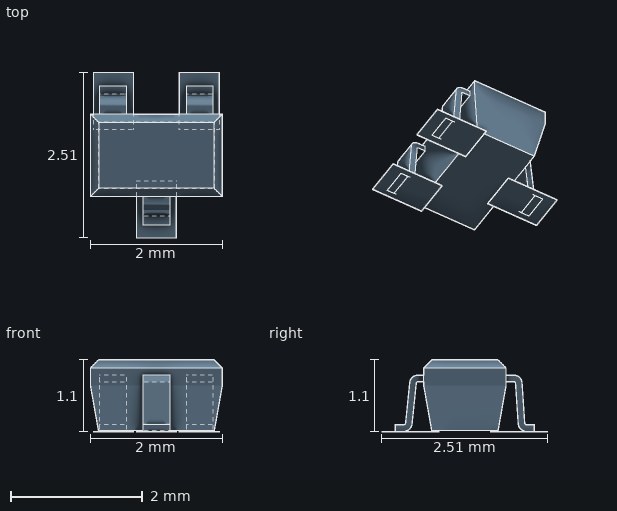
import cadquery as cq
import math

total_y = 2.51
total_height = 1.1

body_x = 2.0
body_y = 1.25
body_bottom = 0.02
belt_bottom = 0.7
top_chamfer = 0.128
draft_inset = 0.12

pad_thickness = 0.01
pad_width = 0.607
pad_length = 0.865
pad_offset_x = 0.65

lead_width = 0.407
lead_thickness = 0.103
lead_offset_x = 0.658
lead_top = 0.863
inner_radius = 0.023
outer_radius = inner_radius + lead_thickness
embed_depth = 0.05

rear_reach = (0.743, 0.93, 1.052)
front_reach = (0.713, 0.924, 1.06)


def make_body():
    """Box with a chamfered top and a lower half that tapers inward."""
    belt = (
        cq.Workplane("XY", origin=(0, 0, belt_bottom))
        .rect(body_x, body_y)
        .extrude(total_height - belt_bottom)
        .faces(">Z")
        .chamfer(top_chamfer)
    )
    base = (
        cq.Workplane("XY", origin=(0, 0, body_bottom))
        .rect(body_x - 2 * draft_inset, body_y - 2 * draft_inset)
        .workplane(offset=belt_bottom - body_bottom)
        .rect(body_x, body_y)
        .loft(ruled=True)
    )
    return belt.union(base)


def make_pad(x):
    """Thin pad reaching the +Y end of the part."""
    return (
        cq.Workplane("XY")
        .center(x, (total_y - pad_length) / 2)
        .rect(pad_width, pad_length)
        .extrude(pad_thickness)
    )


def make_lead(x, shoulder_y, heel_y, toe_y):
    """Lead leaving the +Y side of the body and standing on its pad."""
    shoulder_z = lead_top - outer_radius
    heel_z = pad_thickness + outer_radius
    rise = shoulder_z - heel_z
    run = heel_y - shoulder_y

    lean = math.acos((outer_radius + inner_radius) / math.hypot(run, rise)) - math.atan2(rise, run)

    def upper_bend(radius, angle):
        return (shoulder_y + radius * math.cos(angle), shoulder_z + radius * math.sin(angle))

    def lower_bend(radius, angle):
        return (heel_y - radius * math.cos(angle), heel_z - radius * math.sin(angle))

    bend_end = math.pi / 2
    bend_middle = (lean + bend_end) / 2
    root_y = body_y / 2 - embed_depth
    return (
        cq.Workplane("YZ", origin=(x - lead_width / 2, 0, 0))
        .moveTo(root_y, lead_top)
        .lineTo(*upper_bend(outer_radius, bend_end))
        .threePointArc(upper_bend(outer_radius, bend_middle), upper_bend(outer_radius, lean))
        .lineTo(*lower_bend(inner_radius, lean))
        .threePointArc(lower_bend(inner_radius, bend_middle), lower_bend(inner_radius, bend_end))
        .lineTo(toe_y, pad_thickness + lead_thickness)
        .lineTo(toe_y, pad_thickness)
        .lineTo(*lower_bend(outer_radius, bend_end))
        .threePointArc(lower_bend(outer_radius, bend_middle), lower_bend(outer_radius, lean))
        .lineTo(*upper_bend(inner_radius, lean))
        .threePointArc(upper_bend(inner_radius, bend_middle), upper_bend(inner_radius, bend_end))
        .lineTo(root_y, lead_top - lead_thickness)
        .close()
        .extrude(lead_width)
    )


result = make_body()

for side in (-1, 1):
    result = result.union(make_lead(side * lead_offset_x, *rear_reach))
    result = result.union(make_pad(side * pad_offset_x))

front_terminal = make_lead(0, *front_reach).union(make_pad(0))
result = result.union(front_terminal.rotate((0, 0, 0), (0, 0, 1), 180))